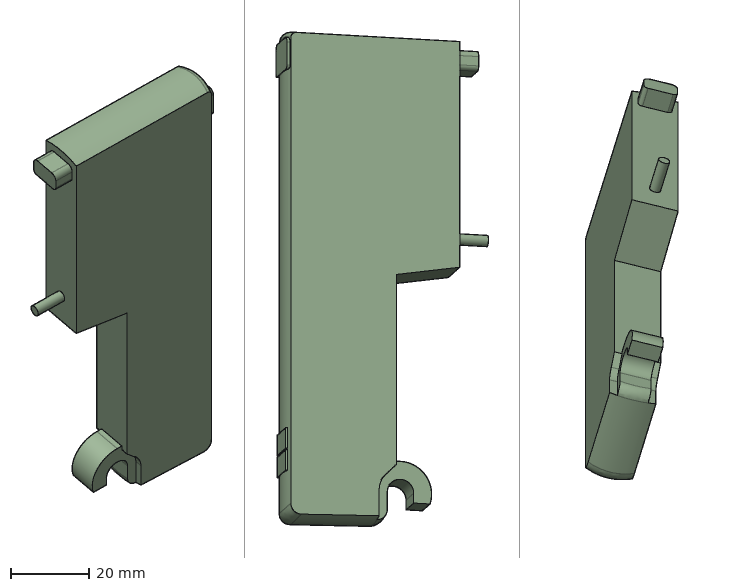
import cadquery as cq
import math

width = 12.3
height = 128.5
back_y = 45.6
crown_rise = 0.96
underside_tilt = 2.0

lower_front_y = 16.7
upper_block_bottom_z = 68.2
step_inner_z = 65.4

top_back_radius = 1.4
bottom_back_radius = 2.8
bottom_front_radius = 2.8

hook_width = 8.2
hook_inner_radius = 3.5
hook_outer_radius = 8.2
hook_center_y = 15.2
hook_center_z = 8.6
hook_tip_z = 6.0
web_front_y = hook_center_y + hook_inner_radius

recess_back_y = 21.3
recess_top_z = 15.5
recess_radius = 5.5

block_width = 9.0
block_length = 5.4
block_bottom_z = 120.7
block_height = 5.3
block_top_radius = 1.7
block_bottom_radius = 1.2
pin_diameter = 3.0
pin_length = 8.7
pin_z = 77.0

upper_pad_width = 11.6
upper_pad_bottom_z = 118.1
upper_pad_height = 8.5
upper_pad_top_radius = 1.5
upper_pad_bottom_radius = 0.9
lower_pad_width = 9.0
lower_pad_height = 5.4
lower_pad_bottoms_z = (12.7, 18.5)
pad_depth = 1.3


def extrude_side_outline(outline, thickness):
    """Extrude a closed YZ outline symmetrically about X = 0."""
    return outline.extrude(thickness / 2, both=True)


def arched_outline(plane, crest, reach):
    """Full-width rectangle on the plane, ending in a shallow arch whose crest is at `crest`."""
    direction = math.copysign(1, reach)
    shoulder = crest - direction * crown_rise
    base = crest - reach
    return (
        plane.moveTo(-width / 2, base)
        .lineTo(width / 2, base)
        .lineTo(width / 2, shoulder)
        .threePointArc((0, crest), (-width / 2, shoulder))
        .close()
    )


def crowned_body():
    """Stepped housing with crowned top, back and underside and rounded edges between them."""
    margin = 6.4
    web_top_z = hook_center_z + hook_inner_radius
    outline = (
        cq.Workplane("YZ")
        .moveTo(back_y + margin, -margin)
        .lineTo(back_y + margin, height + margin)
        .lineTo(0, height + margin)
        .lineTo(0, upper_block_bottom_z)
        .lineTo(lower_front_y, step_inner_z)
        .lineTo(lower_front_y, web_top_z)
        .lineTo(web_front_y, web_top_z)
        .lineTo(web_front_y, -margin)
        .close()
    )
    body = extrude_side_outline(outline, width)

    reach = 2 * height
    back_crown = arched_outline(cq.Workplane("XY"), back_y, reach).extrude(reach, both=True)
    top_crown = arched_outline(cq.Workplane("XZ"), height, reach).extrude(reach, both=True)
    low_point_y = back_y - bottom_back_radius
    bottom_crown = (
        arched_outline(cq.Workplane("XZ"), 0, -reach)
        .extrude(reach, both=True)
        .rotate((0, low_point_y, 0), (1, low_point_y, 0), -underside_tilt)
    )
    body = body.intersect(back_crown).intersect(top_crown).intersect(bottom_crown)

    bottom_front_z = (low_point_y - web_front_y) * math.tan(math.radians(underside_tilt))
    rounded_edges = (
        ((0, back_y, height), top_back_radius),
        ((0, back_y, 0), bottom_back_radius),
        ((0, web_front_y, bottom_front_z), bottom_front_radius),
    )
    for point, radius in rounded_edges:
        body = body.edges(cq.selectors.NearestToPointSelector(point)).fillet(radius)
    return body


def side_recesses():
    """Cutters on both sides of the hook, with a rounded corner under a 45 degree slope."""
    underside_clearance_z = -1.3
    slope_run = recess_back_y - lower_front_y
    corner_z = recess_top_z - slope_run
    tangent_length = recess_radius * math.tan(math.radians(45 / 2))
    diagonal_step = tangent_length * math.sqrt(0.5)
    outline = (
        cq.Workplane("YZ")
        .moveTo(recess_back_y, underside_clearance_z)
        .lineTo(recess_back_y, corner_z - tangent_length)
        .radiusArc((recess_back_y - diagonal_step, corner_z + diagonal_step), -recess_radius)
        .lineTo(lower_front_y, recess_top_z)
        .lineTo(0, recess_top_z)
        .lineTo(0, underside_clearance_z)
        .close()
    )
    cutter = extrude_side_outline(outline, 2 * width)
    hook_slice = cq.Workplane("XY").box(hook_width, 2 * height, 2 * height)
    return cutter.cut(hook_slice)


def hook():
    """C-shaped hook, opening downward, flat on top where it runs into the housing."""
    top_z = hook_center_z + hook_outer_radius
    tip_drop = hook_center_z - hook_tip_z
    tip_inner_y = hook_center_y - hook_inner_radius
    tip_outer_y = hook_center_y - math.sqrt(hook_outer_radius**2 - tip_drop**2)
    outline = (
        cq.Workplane("YZ")
        .moveTo(web_front_y, hook_center_z)
        .threePointArc(
            (hook_center_y, hook_center_z + hook_inner_radius),
            (tip_inner_y, hook_center_z),
        )
        .lineTo(tip_inner_y, hook_tip_z)
        .lineTo(tip_outer_y, hook_tip_z)
        .threePointArc((hook_center_y - hook_outer_radius, hook_center_z), (hook_center_y, top_z))
        .lineTo(recess_back_y, top_z)
        .lineTo(recess_back_y, hook_center_z)
        .close()
    )
    return extrude_side_outline(outline, hook_width)


def rounded_bar(bar_width, bar_height, bottom_z, front_y, length, top_radius, bottom_radius):
    """Bar along Y with separately rounded upper and lower long edges."""
    return (
        cq.Workplane("XY")
        .box(bar_width, length, bar_height, centered=(True, False, False))
        .translate((0, front_y, bottom_z))
        .edges("|Y and >Z")
        .fillet(top_radius)
        .edges("|Y and <Z")
        .fillet(bottom_radius)
    )


def latch_block():
    return rounded_bar(
        block_width, block_height, block_bottom_z,
        -block_length, block_length, block_top_radius, block_bottom_radius,
    )


def pin():
    return cq.Workplane("XZ").center(0, pin_z).circle(pin_diameter / 2).extrude(pin_length)


def upper_pad():
    return rounded_bar(
        upper_pad_width, upper_pad_height, upper_pad_bottom_z,
        back_y - pad_depth, pad_depth, upper_pad_top_radius, upper_pad_bottom_radius,
    )


def lower_pad(bottom_z):
    return (
        cq.Workplane("XY")
        .box(lower_pad_width, pad_depth, lower_pad_height, centered=(True, False, False))
        .translate((0, back_y - pad_depth, bottom_z))
    )


result = crowned_body().cut(side_recesses())
result = result.union(hook()).union(latch_block()).union(pin()).union(upper_pad())
for pad_bottom_z in lower_pad_bottoms_z:
    result = result.union(lower_pad(pad_bottom_z))